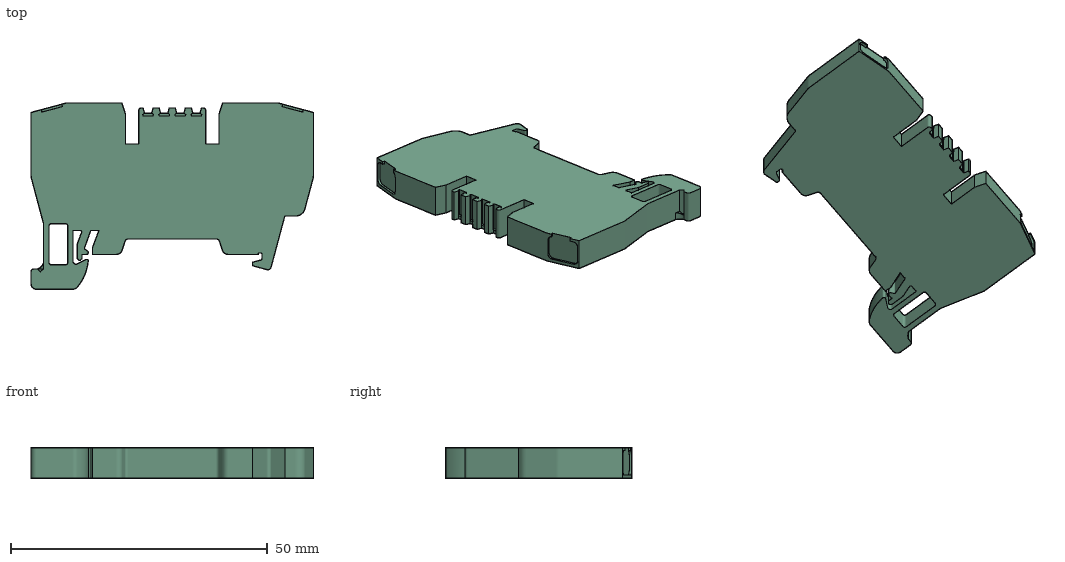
import cadquery as cq
import math

length = 55.0
height = 36.3
thickness = 6.0
mid_x = length / 2
skin = 0.65
lean = math.tan(math.radians(15))

side_bottom_y = 21.85
side_bend_radius = 1.85
shoulder_run = 6.95
shoulder_y = height - shoulder_run * lean

foot_wall_x = 2.4
foot_top_y = 3.95
foot_corner_radius = 1.05
foot_top_radius = 0.5
foot_toe_x = 8.7
foot_toe_radius = 1.15
foot_nose = (10.65, 2.4)
foot_nose_radius = 8.8
foot_tip = (11.3, 6.1)
foot_tip_radius = 0.35

window_left, window_right = 3.5, 7.15
window_bottom, window_top = 4.8, 12.75
window_radius = 0.45
slot_left_x = 8.2
slot_bottom_y = 4.55
slot_bottom_radius = 0.55
slot_top_y = 11.45
prong_left_x = 8.95
prong_right_x = 9.95
prong_base_y = 6.0
prong_point_y = 5.5
prong_point_radius = 0.2
prong_root_x = 9.95
prong_root_radius = 0.3
prong_bend_y = 8.75
barb_tip_x = 11.95
barb_tip_radius = 0.4
barb_neck = (10.4, 7.9)
barb_neck_radius = 0.15
gap_top_left, gap_top_right = 11.65, 13.2
gap_right_x = 11.95
gap_bend_y = 8.1

seat_y = 6.75
recess_y = 9.8
recess_half_top = 9.0
recess_half_bottom = 10.0
recess_top_radius = 0.65
recess_bottom_radius = 1.25

hook_root_x = 44.95
hook_root_y = 5.8
hook_root_radius = 0.2
hook_relief_x = 44.3
hook_relief_y = 7.05
hook_relief_radii = (0.1, 0.15)
hook_lip_x = 43.1
hook_lip_height = 0.7
hook_lip_radii = (0.15, 0.3)
hook_toe = (46.6, 3.65)
hook_toe_radius = 0.7
ledge_y = 14.25
ledge_radius = 1.9

comb_half_width = 6.55
comb_top_y = 35.3
comb_corner_radius = 0.5
comb_slot_half_outer = 9.1
comb_slot_bottom_y = 28.3
flare_y = 34.1
flare_width = 0.7
groove_count = 4
groove_pitch = 3.15
groove_top_width = 1.9
groove_bottom_width = 1.4
groove_bottom_y = 34.3
dovetail_widest = 2.15
dovetail_widest_y = 34.0
dovetail_floor_width = 1.9
dovetail_floor_y = 33.75

pocket_top_z = 5.45
pocket_depth = 0.5
pocket_start, pocket_end = 0.35, 7.0
pocket_radius = 1.0
mouth_start, mouth_end = 2.1, 6.2

gusset_height = 1.45
gusset_tip_height = 1.0
gusset_size = 1.15
gusset_radius = 1.9
relief_depth = 0.55


def rounded_profile(corners):
    """Closed outline through (x, y, radius) corners; radius 0 stays sharp."""
    path = None
    for i, (x, y, radius) in enumerate(corners):
        corner = cq.Vector(x, y)
        if radius == 0:
            entry = middle = leave = corner
        else:
            to_last = (cq.Vector(*corners[i - 1][:2]) - corner).normalized()
            to_next = (cq.Vector(*corners[(i + 1) % len(corners)][:2]) - corner).normalized()
            half_angle = to_last.getAngle(to_next) / 2
            setback = radius / math.tan(half_angle)
            entry = corner + to_last * setback
            leave = corner + to_next * setback
            bisector = (to_last + to_next).normalized()
            middle = corner + bisector * (radius / math.sin(half_angle) - radius)
        if path is None:
            path = cq.Workplane("XY").moveTo(entry.x, entry.y)
        else:
            path = path.lineTo(entry.x, entry.y)
        if radius > 0:
            path = path.threePointArc((middle.x, middle.y), (leave.x, leave.y))
    return path.close()


def sharp_prism(points, bottom_z):
    """Prism over a polygon, from bottom_z up to the top face."""
    base = cq.Workplane("XY").workplane(offset=bottom_z)
    return base.polyline(points).close().extrude(thickness - bottom_z)


def mirrored(shape):
    """Copy of a shape mirrored left to right about the middle of the part."""
    return shape.mirror("YZ", (mid_x, 0, 0))


foot = [
    (0, foot_top_y, foot_top_radius),
    (0, 0, foot_corner_radius),
    (foot_toe_x, 0, foot_toe_radius),
    (*foot_nose, foot_nose_radius),
    (*foot_tip, foot_tip_radius),
    (slot_left_x, slot_bottom_y, slot_bottom_radius),
    (slot_left_x, slot_top_y, 0),
]
prong = [
    (prong_root_x, slot_top_y, prong_root_radius),
    (prong_left_x, prong_bend_y, 0),
    (prong_left_x, prong_base_y, 0),
    ((prong_left_x + prong_right_x) / 2, prong_point_y, prong_point_radius),
    (prong_right_x, prong_base_y, 0),
    (prong_right_x, seat_y, 0),
    (barb_tip_x, seat_y, barb_tip_radius),
    (*barb_neck, barb_neck_radius),
    (gap_top_left, slot_top_y, 0),
    (gap_top_right, slot_top_y, 0),
    (gap_right_x, gap_bend_y, 0),
    (gap_right_x, seat_y, 0),
]
rail_recess = [
    (mid_x - recess_half_bottom, seat_y, recess_bottom_radius),
    (mid_x - recess_half_top, recess_y, recess_top_radius),
    (mid_x + recess_half_top, recess_y, recess_top_radius),
    (mid_x + recess_half_bottom, seat_y, recess_bottom_radius),
]
hook_lip_y = hook_root_y - (hook_root_x - hook_lip_x) * lean
hook = [
    (hook_relief_x, seat_y, 0),
    (hook_relief_x, hook_relief_y, hook_relief_radii[0]),
    (hook_root_x, hook_relief_y, hook_relief_radii[1]),
    (hook_root_x, hook_root_y, hook_root_radius),
    (hook_lip_x, hook_lip_y, hook_lip_radii[0]),
    (hook_lip_x, hook_lip_y - hook_lip_height, hook_lip_radii[1]),
    (*hook_toe, hook_toe_radius),
    (hook_toe[0] + (ledge_y - hook_toe[1]) * lean, ledge_y, 0),
    (length - (side_bottom_y - ledge_y) * lean, ledge_y, ledge_radius),
]
upper_edges = [
    (length, side_bottom_y, side_bend_radius),
    (length, shoulder_y, 0),
    (length - shoulder_run, height, 0),
    (shoulder_run, height, 0),
    (0, shoulder_y, 0),
    (0, side_bottom_y, side_bend_radius),
    (foot_wall_x, side_bottom_y - foot_wall_x / lean, 0),
    (foot_wall_x, foot_top_y, 0),
]
body = rounded_profile(foot + prong + rail_recess + hook + upper_edges).extrude(thickness)

window = rounded_profile([
    (window_left, window_bottom, window_radius),
    (window_right, window_bottom, window_radius),
    (window_right, window_top, window_radius),
    (window_left, window_top, window_radius),
]).extrude(thickness)
body = body.cut(window)

slot_inner_x = mid_x - comb_half_width
slot_outer_x = mid_x - comb_slot_half_outer
comb_slot = sharp_prism([
    (slot_inner_x, comb_slot_bottom_y),
    (slot_outer_x, comb_slot_bottom_y),
    (slot_outer_x, flare_y),
    (slot_outer_x - flare_width, height),
    (slot_inner_x, height),
], 0)
body = body.cut(comb_slot).cut(mirrored(comb_slot))

comb_clearance = (
    cq.Workplane("XY")
    .box(2 * comb_half_width, height - comb_top_y, thickness, centered=(True, False, False))
    .translate((mid_x, comb_top_y, 0))
)
body = body.cut(comb_clearance)
for corner_x in (mid_x - comb_half_width, mid_x + comb_half_width):
    corner_edge = cq.selectors.NearestToPointSelector((corner_x, comb_top_y, thickness / 2))
    body = body.edges("|Z").edges(corner_edge).fillet(comb_corner_radius)


def comb_groove(center_x):
    """Tapered groove through the comb, with a dovetail at its base open to the top face."""
    through = sharp_prism([
        (center_x - groove_top_width / 2, comb_top_y),
        (center_x - groove_bottom_width / 2, groove_bottom_y),
        (center_x + groove_bottom_width / 2, groove_bottom_y),
        (center_x + groove_top_width / 2, comb_top_y),
    ], 0)
    dovetail = sharp_prism([
        (center_x - groove_bottom_width / 2, groove_bottom_y),
        (center_x - dovetail_widest / 2, dovetail_widest_y),
        (center_x - dovetail_floor_width / 2, dovetail_floor_y),
        (center_x + dovetail_floor_width / 2, dovetail_floor_y),
        (center_x + dovetail_widest / 2, dovetail_widest_y),
        (center_x + groove_bottom_width / 2, groove_bottom_y),
    ], skin)
    return through.union(dovetail)


for index in range(groove_count):
    groove_x = mid_x + (index - (groove_count - 1) / 2) * groove_pitch
    body = body.cut(comb_groove(groove_x))

shoulder_plane = cq.Plane(origin=(0, shoulder_y, 0), xDir=(-1, -lean, 0), normal=(-lean, 1, 0))


def shoulder_block(start, end, bottom_z, top_z):
    """Block sunk into the left shoulder, reaching above it by its own depth."""
    return (
        cq.Workplane(shoulder_plane)
        .center(-(start + end) / 2, (bottom_z + top_z) / 2)
        .rect(end - start, top_z - bottom_z)
        .extrude(pocket_depth, both=True)
    )


pocket = shoulder_block(pocket_start, pocket_end, skin, pocket_top_z)
pocket = pocket.edges(cq.selectors.ParallelDirSelector(shoulder_plane.zDir)).fillet(pocket_radius)
mouth = shoulder_block(mouth_start, mouth_end, (skin + pocket_top_z) / 2, thickness)
marker_pocket = pocket.union(mouth)
body = body.cut(marker_pocket).cut(mirrored(marker_pocket))

gusset = (
    cq.Workplane("XY")
    .moveTo(foot_wall_x, foot_top_y)
    .lineTo(foot_wall_x - gusset_size, foot_top_y)
    .radiusArc((foot_wall_x, foot_top_y + gusset_size), -gusset_radius)
    .close()
    .extrude(gusset_height)
)
gusset_slope = (
    cq.Workplane("XZ")
    .polyline([
        (foot_wall_x, gusset_height),
        (foot_wall_x - gusset_size, gusset_height),
        (foot_wall_x - gusset_size, gusset_tip_height),
    ])
    .close()
    .extrude(-height)
)
gusset = gusset.cut(gusset_slope)
relief = sharp_prism([
    (foot_wall_x, foot_top_y),
    (foot_wall_x - gusset_size, foot_top_y),
    (foot_wall_x - gusset_size + relief_depth, foot_top_y - relief_depth),
], gusset_tip_height)
result = body.union(gusset).cut(relief)